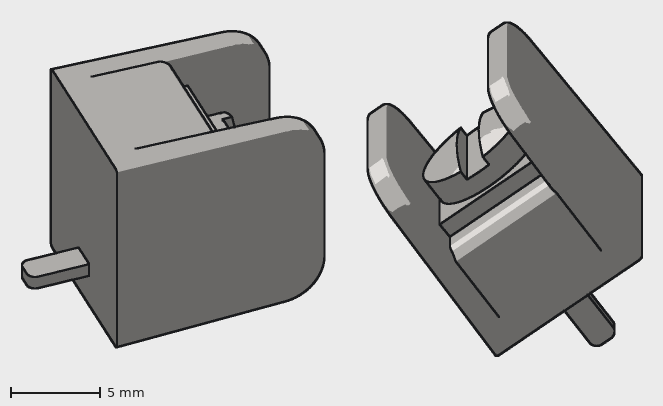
import cadquery as cq
import math

BASE_WIDTH = 10.16
BASE_HEIGHT = 12.7
TOTAL_LENGTH = 16.26
PIN_LENGTH = 3.58
HOUSING_DEPTH = TOTAL_LENGTH - PIN_LENGTH

DRAFT = 1.0
BASE_GAP = 6.57
CHEEK_CORNER_RADIUS = 2.5
CHEEK_EDGE_RADIUS = 0.28

BLOCK_DEPTH = 6.67
BLOCK_DRAFT = 1.5
BLOCK_EDGE_RADIUS = 0.81
BLOCK_OVERLAP = 0.33

LEDGE_DEPTH = 7.61
LEDGE_HEIGHT = 8.13

HEAD_RADIUS = 3.38
HEAD_RIM_Y = 9.24
HEAD_TOP_Y = 9.65
SLOT_WIDTH = 1.53
SLOT_FLOOR_Y = 8.65

PIN_WIDTH = 1.63
PIN_THICKNESS = 0.83
PIN_CENTER_Z = -3.8
PIN_CORNER_RADIUS = 0.5


def draft_offset(depth, angle):
    """Sideways shift of a drafted face over the given depth."""
    return depth * math.tan(math.radians(angle))


def drafted_profile(depth, angle):
    """YZ outline that is BASE_HEIGHT tall at Y = 0 and shrinks toward +Y."""
    base_half = BASE_HEIGHT / 2
    end_half = base_half - draft_offset(depth, angle)
    outline = [(0, -base_half), (depth, -end_half), (depth, end_half), (0, base_half)]
    return cq.Workplane("YZ").polyline(outline).close()


def make_cheek():
    """The +X cheek."""
    shift = draft_offset(HOUSING_DEPTH, DRAFT)
    outer = BASE_WIDTH / 2
    inner = BASE_GAP / 2
    side = (
        drafted_profile(HOUSING_DEPTH, DRAFT)
        .extrude(BASE_WIDTH / 2)
        .edges("|X and >Y")
        .fillet(CHEEK_CORNER_RADIUS)
    )
    wall = (
        cq.Workplane("XY")
        .polyline([
            (inner, 0),
            (outer, 0),
            (outer - shift, HOUSING_DEPTH),
            (inner + shift, HOUSING_DEPTH),
        ])
        .close()
        .extrude(BASE_HEIGHT / 2, both=True)
    )
    return side.intersect(wall).edges("not(|X or <Y)").fillet(CHEEK_EDGE_RADIUS)


def make_block():
    """Drafted block and the lower ledge in front of it."""
    half_width = BASE_GAP / 2 + BLOCK_OVERLAP
    block = (
        drafted_profile(BLOCK_DEPTH, BLOCK_DRAFT)
        .extrude(half_width, both=True)
        .edges("|X and >Y")
        .fillet(BLOCK_EDGE_RADIUS)
    )
    ledge = cq.Workplane("XY").box(
        2 * half_width, LEDGE_DEPTH, LEDGE_HEIGHT, centered=(True, False, True)
    )
    return block.union(ledge)


def make_screw_head():
    """Domed disc with a straight slot along Z."""
    dome_height = HEAD_TOP_Y - HEAD_RIM_Y
    dome_radius = (HEAD_RADIUS**2 + dome_height**2) / (2 * dome_height)
    mid_x = HEAD_RADIUS / 2
    mid_y = HEAD_TOP_Y - dome_radius + math.sqrt(dome_radius**2 - mid_x**2)
    head = (
        cq.Workplane("XY")
        .moveTo(0, BLOCK_DEPTH)
        .lineTo(HEAD_RADIUS, BLOCK_DEPTH)
        .lineTo(HEAD_RADIUS, HEAD_RIM_Y)
        .threePointArc((mid_x, mid_y), (0, HEAD_TOP_Y))
        .close()
        .revolve(360, (0, 0), (0, 1))
    )
    slot = (
        cq.Workplane("XY")
        .box(SLOT_WIDTH, HEAD_RADIUS, 2 * HEAD_RADIUS, centered=(True, False, True))
        .translate((0, SLOT_FLOOR_Y, 0))
    )
    return head.cut(slot)


def make_pin():
    """Flat pin with a rounded tip, rooted inside the block."""
    return (
        cq.Workplane("XY")
        .box(PIN_WIDTH, PIN_LENGTH + BLOCK_DEPTH / 2, PIN_THICKNESS, centered=(True, False, True))
        .translate((0, -PIN_LENGTH, PIN_CENTER_Z))
        .edges("|Z and <Y")
        .fillet(PIN_CORNER_RADIUS)
    )


cheek = make_cheek()
result = (
    make_block()
    .union(cheek)
    .union(cheek.mirror("YZ"))
    .union(make_screw_head())
    .union(make_pin())
)